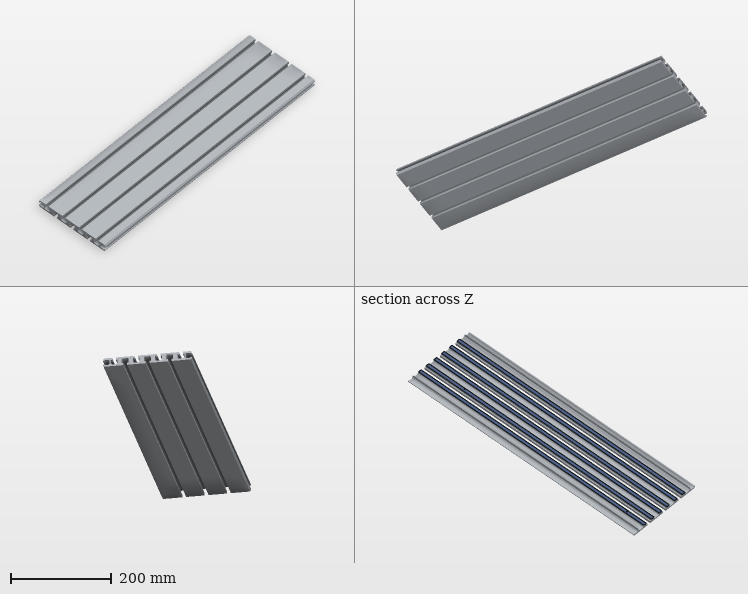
import cadquery as cq

width = 180.0
length = 609.5
height = 18.0

slot_pitch = 45.0
opening_width = 8.0
cavity_width = 14.0
floor_thickness = 3.5
lip_tip_thickness = 5.5
lip_root_thickness = 4.0
cavity_chamfer = 2.0
rib_foot_width = 3.5
rib_foot_height = 2.5
top_slot_positions = [n * slot_pitch for n in (-1.5, -0.5, 0.5, 1.5)]
bottom_slot_positions = [n * slot_pitch for n in (-1, 0, 1)]

side_opening = height - 2 * lip_tip_thickness
side_cavity_height = height - 2 * floor_thickness
side_slot_depth = 13.5
side_nose_length = 2.5
side_hook_length = 3.5

bevel_width = 2.5
bevel_height = 3.5


def extrude_outline(points):
    """Extrude an XZ outline over the full panel length, centred on Y."""
    return cq.Workplane("XZ").polyline(points).close().extrude(length / 2, both=True)


def panel_blank():
    x = width / 2
    z = height / 2
    return extrude_outline([
        (-x + bevel_width, -z), (x - bevel_width, -z),
        (x, -z + bevel_height), (x, z - bevel_height),
        (x - bevel_width, z), (-x + bevel_width, z),
        (-x, z - bevel_height), (-x, -z + bevel_height),
    ])


def face_slot(center_x, side):
    """T-slot open to the top face (side = 1) or the bottom face (side = -1)."""
    half_profile = [
        (opening_width / 2, 0),
        (opening_width / 2, lip_tip_thickness),
        (cavity_width / 2, lip_root_thickness),
        (cavity_width / 2, height - floor_thickness - cavity_chamfer),
        (cavity_width / 2 - cavity_chamfer, height - floor_thickness),
    ]
    right = [(center_x + x, side * (height / 2 - depth)) for x, depth in half_profile]
    left = [(center_x - x, side * (height / 2 - depth)) for x, depth in reversed(half_profile)]
    return extrude_outline(right + left)


def side_slot(side):
    """T-slot with hooked lips, open to the +X side (side = 1) or the -X side (side = -1)."""
    half_profile = [
        (0, side_opening / 2),
        (side_nose_length, side_opening / 2),
        (side_hook_length, side_cavity_height / 2),
        (side_slot_depth - cavity_chamfer, side_cavity_height / 2),
        (side_slot_depth, side_cavity_height / 2 - cavity_chamfer),
    ]
    upper = [(side * (width / 2 - depth), z) for depth, z in half_profile]
    lower = [(side * (width / 2 - depth), -z) for depth, z in reversed(half_profile)]
    return extrude_outline(upper + lower)


def rib_foot(side):
    """Sloped foot joining the thin side rib to the floor of the outermost top slot."""
    rib_x = side * (top_slot_positions[-1] + cavity_width / 2)
    floor_z = -height / 2 + floor_thickness
    return extrude_outline([
        (rib_x, floor_z),
        (rib_x - side * rib_foot_width, floor_z),
        (rib_x, floor_z + rib_foot_height),
    ])


result = panel_blank()
for position in top_slot_positions:
    result = result.cut(face_slot(position, 1))
for position in bottom_slot_positions:
    result = result.cut(face_slot(position, -1))
for side in (-1, 1):
    result = result.cut(side_slot(side)).union(rib_foot(side))